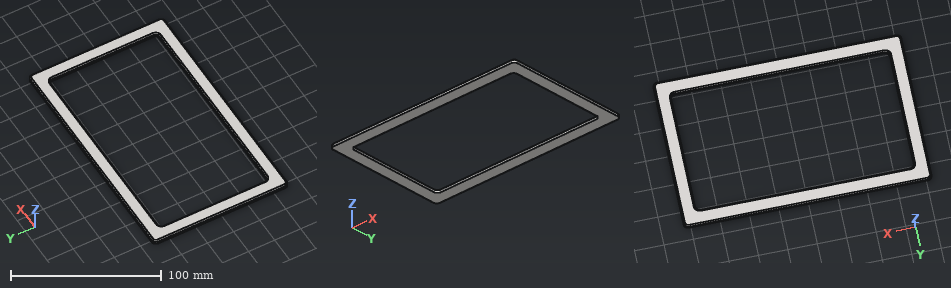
import cadquery as cq

length = 168.5
width = 103.5
thickness = 3.0

window_length = 148.5
window_width = 83.4

corner_radius = 3.0
bevel = 1.0


def rounded_plate(plate_length, plate_width):
    """Flat plate standing on Z = 0 with rounded vertical corners."""
    plate = cq.Workplane("XY").box(plate_length, plate_width, thickness, centered=(True, True, False))
    return plate.edges("|Z").fillet(corner_radius)


frame = rounded_plate(length, width).cut(rounded_plate(window_length, window_width))
result = frame.faces(">Z").edges().chamfer(bevel)